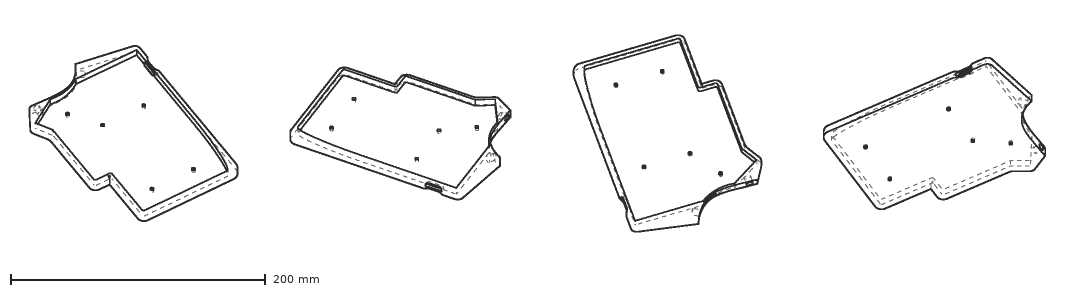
import cadquery as cq
import math

length = 161.5
depth = 115.3
height = 8.5
tiny = 0.08

side_slant = 10.0
tip_y = 63.5
corner_x = (depth - tip_y) * math.tan(math.radians(side_slant))
step_x = 114.3
step_y = 23.1
front_y = 7.9
nose_x = 35.5
nose_angle = math.radians(30.0)
nose_slope = math.tan(nose_angle)
nose_radius = 4.8
nose_y = -nose_radius * (1 / math.cos(nose_angle) - 1)
nose_end_x = nose_x + (front_y - nose_y) / nose_slope
heel_x = 18.9
heel_y = nose_y + (nose_x - heel_x) * nose_slope

heel_undercut = 0.5
tip = (0, tip_y)
hollow_top = [(heel_x, heel_y), (19.5, 24.2), (19.5, 35.0), (16.8, 48.1), (8.9, 57.8), tip]
hollow_bottom = [
    (heel_x + heel_undercut, heel_y), (20.2, 24.2), (20.3, 35.2), (17.6, 48.6), (9.5, 58.5), tip
]
hollow_margin = 3.2

left_corner_radius = 5.0
right_corner_radius = 7.0
step_corner_radius = 5.8
nose_bend_radius = 8.0

dip_x = 32.5
dip_depth = 2.0
dip_top_width = 16.8
dip_floor_width = 9.4
dip_radius = 3.5

rim_radius = 1.6
front_rim_radius = 2.1

floor_thickness = 2.3
wall = 3.9
front_wall = 3.7
pocket_left = 14.0
pocket_hollow_top = (pocket_left, 55.0)
pocket_hollow_middle = (19.0, 45.7)
pocket_hollow_end = (21.2, 26.8)
pocket_front_y = front_y + front_wall
pocket_right = length - wall
pocket_step_x = step_x - front_wall
pocket_step_y = step_y + front_wall
pocket_nose = (nose_x, 3.9)
pocket_nose_end_x = pocket_nose[0] + (pocket_front_y - pocket_nose[1]) / nose_slope
pocket_corner_radius = 1.5
bulge_length = 59.1
bulge_width = 6.8

screw_hole_diameter = 2.6
screw_holes = [(60.9, 88.5), (60.9, 50.4), (137.2, 86.4), (137.2, 48.0), (36.3, 33.3)]
slot_length = 14.5
slot_height = 4.0
slot_z = 3.7
slot_depth = 4.4
side_hole_diameter = 5.2
side_hole_depth = 6.5
side_hole_z = 4.4
side_holes = [((7.0, 60.0), 60.0), ((19.2, 14.9), 0.0)]


def make_outline_body():
    """Plain plate with rounded upright corners; a straight edge spans the hollow."""
    body = (
        cq.Workplane("XY")
        .moveTo(*tip)
        .lineTo(corner_x, depth)
        .lineTo(dip_x - dip_top_width / 2, depth)
        .lineTo(dip_x - dip_floor_width / 2, depth - dip_depth)
        .lineTo(dip_x + dip_floor_width / 2, depth - dip_depth)
        .lineTo(dip_x + dip_top_width / 2, depth)
        .lineTo(length, depth)
        .lineTo(length, step_y)
        .lineTo(step_x, step_y)
        .lineTo(step_x, front_y)
        .lineTo(nose_end_x, front_y)
        .lineTo(nose_x, nose_y)
        .lineTo(heel_x, heel_y)
        .close()
        .extrude(height)
    )
    corners = [
        ((corner_x, depth), left_corner_radius),
        ((length, depth), right_corner_radius),
        ((length, step_y), step_corner_radius),
        ((step_x, front_y), step_corner_radius),
        ((nose_end_x, front_y), nose_bend_radius),
        ((nose_x, nose_y), nose_radius),
    ]
    for side in (-1, 1):
        corners.append(((dip_x + side * dip_top_width / 2, depth), dip_radius))
        corners.append(((dip_x + side * dip_floor_width / 2, depth - dip_depth), dip_radius))
    for (x, y), radius in corners:
        body = body.edges(upright_edge_at(x, y)).fillet(radius)
    return body


def upright_edge_at(x, y):
    return cq.selectors.BoxSelector(
        (x - tiny, y - tiny, 0), (x + tiny, y + tiny, height)
    )


def round_rim(body):
    """Round the whole top rim except along the hollow, with a larger radius in front of the step."""
    top_edges = body.faces(">Z").edges().vals()
    rim = [edge for edge in top_edges if not is_across_hollow(edge.Center())]
    front_rim = [edge for edge in rim if edge.Center().y < step_y - tiny]
    rounded = body.newObject(rim).fillet(rim_radius)
    return rounded.intersect(body.newObject(front_rim).fillet(front_rim_radius))


def is_across_hollow(point):
    return point.x < heel_x and heel_y < point.y < tip_y


def make_hollow():
    """Cutter for the hollow, blending from the deeper underside to the top curve."""
    hollow = cq.Workplane("XY")
    for points, level in [(hollow_bottom, 0), (hollow_top, height)]:
        first_x = points[0][0]
        hollow = (
            hollow.workplane(offset=level)
            .moveTo(*points[0])
            .spline(points[1:], includeCurrent=True)
            .lineTo(-hollow_margin, tip_y)
            .lineTo(-hollow_margin, heel_y - hollow_margin)
            .lineTo(first_x, heel_y - hollow_margin)
            .close()
        )
    return hollow.loft(ruled=True)


def make_pocket():
    pocket = (
        cq.Workplane("XY")
        .workplane(offset=floor_thickness)
        .moveTo(pocket_right, pocket_step_y)
        .lineTo(pocket_right, depth - wall - bulge_width)
        .ellipseArc(bulge_length, bulge_width, 0, 90, sense=1, startAtCurrent=True)
        .lineTo(pocket_left, depth - wall)
        .lineTo(*pocket_hollow_top)
        .threePointArc(pocket_hollow_middle, pocket_hollow_end)
        .lineTo(*pocket_nose)
        .lineTo(pocket_nose_end_x, pocket_front_y)
        .lineTo(pocket_step_x, pocket_front_y)
        .lineTo(pocket_step_x, pocket_step_y)
        .close()
        .extrude(height - floor_thickness)
    )
    corners = [
        (pocket_right, pocket_step_y),
        (pocket_step_x, pocket_step_y),
        (pocket_step_x, pocket_front_y),
    ]
    for x, y in corners:
        pocket = pocket.edges(upright_edge_at(x, y)).fillet(pocket_corner_radius)
    return pocket


def make_screw_holes():
    return cq.Workplane("XY").pushPoints(screw_holes).circle(screw_hole_diameter / 2).extrude(height)


def make_cable_slot():
    return (
        cq.Workplane("XZ", origin=(dip_x, depth, slot_z))
        .slot2D(slot_length, slot_height)
        .extrude(slot_depth)
    )


def make_side_hole(mouth, direction):
    """Level blind hole drilled from the hollow's face, starting one diameter outside it."""
    angle = math.radians(direction)
    axis = cq.Vector(math.cos(angle), math.sin(angle), 0)
    start = cq.Vector(mouth[0], mouth[1], side_hole_z) - axis * side_hole_diameter
    return cq.Workplane(
        cq.Solid.makeCylinder(
            side_hole_diameter / 2, side_hole_diameter + side_hole_depth, start, axis
        )
    )


result = (
    round_rim(make_outline_body())
    .cut(make_hollow())
    .cut(make_pocket())
    .cut(make_screw_holes())
    .cut(make_cable_slot())
)
for mouth, direction in side_holes:
    result = result.cut(make_side_hole(mouth, direction))